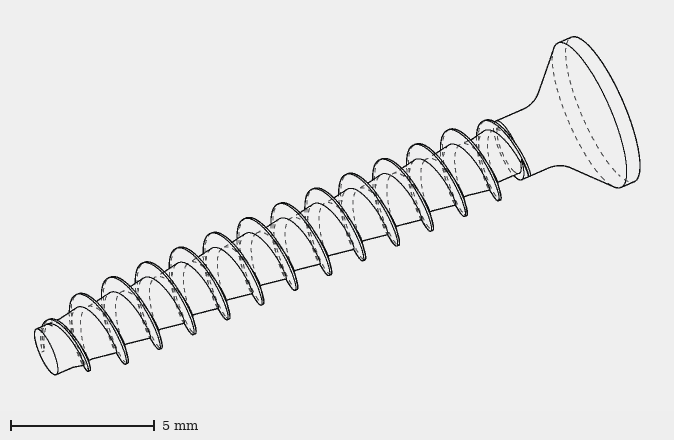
import cadquery as cq
import math

length = 22.0

head_radius = 2.75
head_rim_height = 0.53
shank_radius = 1.12
head_cone_angle = 45.0
neck_fillet_radius = 1.2
shank_end_depth = 3.72

core_radius = 0.87

pitch = 1.34
thread_origin_depth = 4.88
thread_start_turn = -1.2
thread_end_turn = 12.65
crest_radius = 1.5
crest_width = 0.08
flank_angle = 15.0
root_radius = 0.75
runout_full_turn = 0.0
runout_rise_per_turn = 0.35
runin_full_turn = 11.2
runin_fall_per_turn = 0.41

thread_stretches = 14
points_per_stretch = 16

ramp_height = 0.14
ramp_length = 0.7 * pitch
ramp_sink = 0.01
ramp_fade_power = 1.5


def make_body():
    """Head, neck fillet, shank and core as one revolved outline (radius, y)."""
    angle = math.radians(head_cone_angle)
    fillet_rise = neck_fillet_radius * (1 - math.cos(angle))
    fillet_length = neck_fillet_radius * math.sin(angle)
    cone_end_radius = shank_radius + fillet_rise
    cone_end_depth = head_rim_height + (head_radius - cone_end_radius) / math.tan(angle)
    fillet_end_depth = cone_end_depth + fillet_length
    mid_angle = math.radians(head_cone_angle / 2)
    fillet_mid_radius = shank_radius + neck_fillet_radius * (1 - math.cos(mid_angle))
    fillet_mid_depth = fillet_end_depth - neck_fillet_radius * math.sin(mid_angle)
    outline = (
        cq.Workplane("ZY")
        .moveTo(0, 0)
        .lineTo(head_radius, 0)
        .lineTo(head_radius, -head_rim_height)
        .lineTo(cone_end_radius, -cone_end_depth)
        .threePointArc((fillet_mid_radius, -fillet_mid_depth), (shank_radius, -fillet_end_depth))
        .lineTo(shank_radius, -shank_end_depth)
        .lineTo(core_radius, -shank_end_depth)
        .lineTo(core_radius, -length)
        .lineTo(0, -length)
        .close()
    )
    return outline.revolve(360, (0, 0, 0), (0, 1, 0))


def crest_radius_at(turn):
    """Crest radius, reduced at the run-out near the head and the run-in at the tip."""
    runout = crest_radius - runout_rise_per_turn * (runout_full_turn - turn)
    runin = crest_radius - runin_fall_per_turn * (turn - runin_full_turn)
    return min(crest_radius, runout, runin)


def profile_at(turn):
    """Corners (radius, axial offset toward the tip) of the thread section."""
    crest = crest_radius_at(turn)
    slope = math.tan(math.radians(flank_angle))
    half_crest = crest_width / 2
    root_offset = half_crest + slope * (crest - root_radius)
    height_share = (crest - root_radius) / (crest_radius - root_radius)

    half_height_radius = (crest + root_radius) / 2
    ramp_radius = min(core_radius + ramp_height * height_share, half_height_radius)
    ramp_offset = half_crest + slope * (crest - ramp_radius)
    ramp_end_radius = min(core_radius - ramp_sink, (ramp_radius + root_radius) / 2)
    ramp_end_offset = ramp_offset + ramp_length * height_share**ramp_fade_power
    return [
        (root_radius, -root_offset),
        (crest, -half_crest),
        (crest, half_crest),
        (ramp_radius, ramp_offset),
        (ramp_end_radius, ramp_end_offset),
    ]


def point_on_thread(turn, corner):
    """Place a section corner in space; turns run from +X toward +Z, advancing to the tip."""
    radius, offset = corner
    angle = 2 * math.pi * turn
    depth = thread_origin_depth + pitch * turn + offset
    return cq.Vector(radius * math.cos(angle), -depth, radius * math.sin(angle))


def thread_faces(start_turn, end_turn):
    """Ruled faces between the helical edges of the thread section over one stretch."""
    step = (end_turn - start_turn) / points_per_stretch
    turns = [start_turn + step * i for i in range(points_per_stretch + 1)]
    sections = [[point_on_thread(t, c) for c in profile_at(t)] for t in turns]
    edges = [cq.Edge.makeSpline(list(path), parameters=turns) for path in zip(*sections)]
    next_edges = edges[1:] + edges[:1]
    return [cq.Face.makeRuledSurface(edge, next_edge) for edge, next_edge in zip(edges, next_edges)]


def end_face(turn):
    """Flat face that closes one end of the thread."""
    corners = [point_on_thread(turn, corner) for corner in profile_at(turn)]
    return cq.Face.makeFromWires(cq.Wire.makePolygon(corners, close=True))


def make_thread():
    """Closed thread solid, assembled from equal stretches along the helix."""
    stretch = (thread_end_turn - thread_start_turn) / thread_stretches
    breaks = [thread_start_turn + stretch * i for i in range(thread_stretches + 1)]
    faces = [end_face(thread_start_turn), end_face(thread_end_turn)]
    for start_turn, end_turn in zip(breaks, breaks[1:]):
        faces.extend(thread_faces(start_turn, end_turn))
    thread = cq.Solid.makeSolid(cq.Shell.makeShell(faces))
    return cq.Workplane(thread.fix())


result = make_body().union(make_thread(), clean=False)